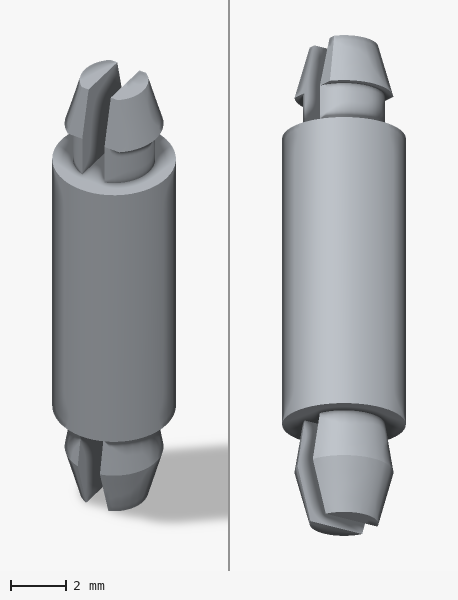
import cadquery as cq

body_diameter = 4.5
body_height = 11.1
total_height = 18.5

neck_diameter = 3.0
barb_diameter = 3.6
tip_diameter = 2.5
slot_width = 0.95

lower_flare_height = 1.85
lower_tip_height = 2.0
lower_height = lower_flare_height + lower_tip_height

upper_height = total_height - body_height - lower_height
upper_barb_height = 1.95
upper_neck_height = upper_height - upper_barb_height

flat_width_at_barb = (neck_diameter**2 - slot_width**2) ** 0.5
flat_width_at_tip = flat_width_at_barb * tip_diameter / barb_diameter


def cone(base_z, base_diameter, top_diameter, height):
    """Upright truncated cone on the Z axis."""
    profile = [
        (0, base_z),
        (base_diameter / 2, base_z),
        (top_diameter / 2, base_z + height),
        (0, base_z + height),
    ]
    return cq.Workplane("XZ").polyline(profile).close().revolve(360, (0, 0), (0, 1))


def slot_cutter(base_z, height):
    """Block that splits a snap-in end into two prongs, open along Y."""
    block = cq.Workplane("XY").box(slot_width, body_diameter, height, centered=(True, True, False))
    return block.translate((0, 0, base_z))


def make_body():
    return cq.Workplane("XY").circle(body_diameter / 2).extrude(body_height)


def make_lower_end():
    tip = cone(-lower_height, tip_diameter, barb_diameter, lower_tip_height)
    flare = cone(-lower_flare_height, barb_diameter, neck_diameter, lower_flare_height)
    return tip.union(flare).cut(slot_cutter(-lower_height, lower_height))


def make_upper_barb():
    """Cone limited in Y by two sloping flats."""
    barb_z = body_height + upper_neck_height
    top_z = barb_z + upper_barb_height
    flat_outline = [
        (-flat_width_at_barb / 2, barb_z),
        (flat_width_at_barb / 2, barb_z),
        (flat_width_at_tip / 2, top_z),
        (-flat_width_at_tip / 2, top_z),
    ]
    wedge = cq.Workplane("YZ").polyline(flat_outline).close().extrude(barb_diameter, both=True)
    return cone(barb_z, barb_diameter, tip_diameter, upper_barb_height).intersect(wedge)


def make_upper_end():
    body_top = cq.Workplane("XY").workplane(offset=body_height)
    neck = body_top.circle(neck_diameter / 2).extrude(upper_neck_height)
    return neck.union(make_upper_barb()).cut(slot_cutter(body_height, upper_height))


result = make_body().union(make_lower_end()).union(make_upper_end())